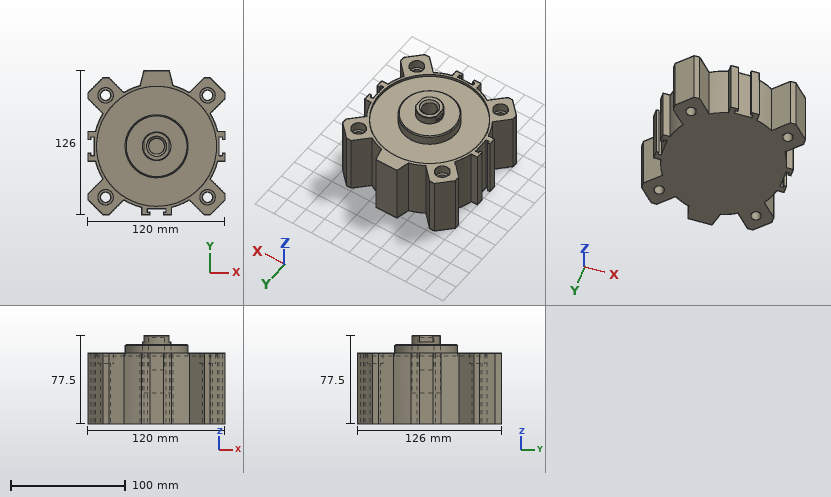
import cadquery as cq
import math

envelope_half = 60.0
total_height = 77.5

barrel_diameter = 110.0
housing_height = 62.1
recess_diameter = 105.0
recess_depth = 2.5
boss_diameter = 55.0
boss_top = 69.5
boss_chamfer = 1.0

lug_width = 25.8
lug_reach = 75.5
bolt_circle_radius = 63.0
bolt_hole_diameter = 9.0
counterbore_diameter = 13.5
counterbore_depth = 9.1

rail_width = 26.2
slot_opening = 11.8
slot_width = 16.1
slot_lip = 2.5
slot_depth = 5.3

rib_reach = 66.0
rib_top_width = 22.3
rib_base_width = 29.0
rib_base_y = 52.9

rod_diameter = 25.0
rod_length = 50.4
rod_chamfer = 0.5
flat_spacing = 22.0
flat_height = 5.5
rod_bore_diameter = 13.9
rod_bore_mouth = 17.6
rod_bore_depth = 30.2
rod_bottom = total_height - rod_length


def cylinder(diameter, bottom, top):
    """Vertical cylinder on the central axis."""
    return cq.Workplane("XY").workplane(offset=bottom).circle(diameter / 2).extrude(top - bottom)


def make_lugs():
    """Two crossed diagonal bars with their corners trimmed by a square envelope."""
    bars = cq.Workplane("XY")
    for angle in (45, 135):
        bar = cq.Workplane("XY").rect(2 * lug_reach, lug_width).extrude(housing_height)
        bars = bars.add(bar.rotate((0, 0, 0), (0, 0, 1), angle))
    envelope = cq.Workplane("XY").rect(2 * envelope_half, 2 * envelope_half).extrude(housing_height)
    return bars.combine().intersect(envelope)


def make_rail():
    """Rail on the +X side, reaching in to the central axis."""
    return (
        cq.Workplane("XY")
        .center(envelope_half / 2, 0)
        .rect(envelope_half, rail_width)
        .extrude(housing_height)
    )


def make_slot():
    """T-shaped slot cut into the outer face of the +X rail."""
    slot_floor = envelope_half - slot_depth
    lip_inside = envelope_half - slot_lip
    upper_half = [
        (slot_floor, slot_width / 2),
        (lip_inside, slot_width / 2),
        (lip_inside, slot_opening / 2),
        (envelope_half, slot_opening / 2),
    ]
    lower_half = [(x, -y) for x, y in reversed(upper_half)]
    return cq.Workplane("XY").polyline(upper_half + lower_half).close().extrude(housing_height)


def make_rib():
    """Tapered rib whose flanks run straight on into the barrel."""
    taper = (rib_base_width - rib_top_width) / 2 / (rib_reach - rib_base_y)
    root_y = barrel_diameter / 4
    root_half = rib_top_width / 2 + taper * (rib_reach - root_y)
    outline = [
        (-root_half, root_y),
        (root_half, root_y),
        (rib_top_width / 2, rib_reach),
        (-rib_top_width / 2, rib_reach),
    ]
    return cq.Workplane("XY").polyline(outline).close().extrude(housing_height)


def make_bolt_hole():
    """Counterbored through hole on the central axis, ready to be moved."""
    hole = cylinder(bolt_hole_diameter, 0, housing_height)
    counterbore = cylinder(counterbore_diameter, housing_height - counterbore_depth, housing_height)
    return hole.union(counterbore)


def make_housing():
    housing = cylinder(barrel_diameter, 0, housing_height)
    housing = housing.union(make_lugs()).union(make_rib())
    rail_angles = (0, 180, 270)
    for angle in rail_angles:
        housing = housing.union(make_rail().rotate((0, 0, 0), (0, 0, 1), angle))
    for angle in rail_angles:
        housing = housing.cut(make_slot().rotate((0, 0, 0), (0, 0, 1), angle))

    recess_floor = housing_height - recess_depth
    housing = housing.cut(cylinder(recess_diameter, recess_floor, housing_height))
    boss = cylinder(boss_diameter, recess_floor, boss_top).faces(">Z").chamfer(boss_chamfer)
    housing = housing.union(boss)

    for angle in (45, 135, 225, 315):
        x = bolt_circle_radius * math.cos(math.radians(angle))
        y = bolt_circle_radius * math.sin(math.radians(angle))
        housing = housing.cut(make_bolt_hole().translate((x, y, 0)))

    return housing.cut(cylinder(rod_diameter, rod_bottom, boss_top))


def make_rod():
    rod = cylinder(rod_diameter, rod_bottom, total_height).faces(">Z").chamfer(rod_chamfer)

    flat_bottom = total_height - flat_height
    across_flats = (
        cq.Workplane("XY").workplane(offset=flat_bottom).rect(flat_spacing, rod_diameter).extrude(flat_height)
    )
    removed = cylinder(rod_diameter, flat_bottom, total_height).cut(across_flats)
    rod = rod.cut(removed)

    bore = cylinder(rod_bore_diameter, total_height - rod_bore_depth, total_height)
    mouth_depth = (rod_bore_mouth - rod_bore_diameter) / 2
    mouth = cq.Workplane(
        cq.Solid.makeCone(
            rod_bore_diameter / 2,
            rod_bore_mouth / 2,
            mouth_depth,
            cq.Vector(0, 0, total_height - mouth_depth),
        )
    )
    return rod.cut(bore).cut(mouth)


housing = make_housing()
rod = make_rod()
result = cq.Compound.makeCompound([housing.val(), rod.val()])